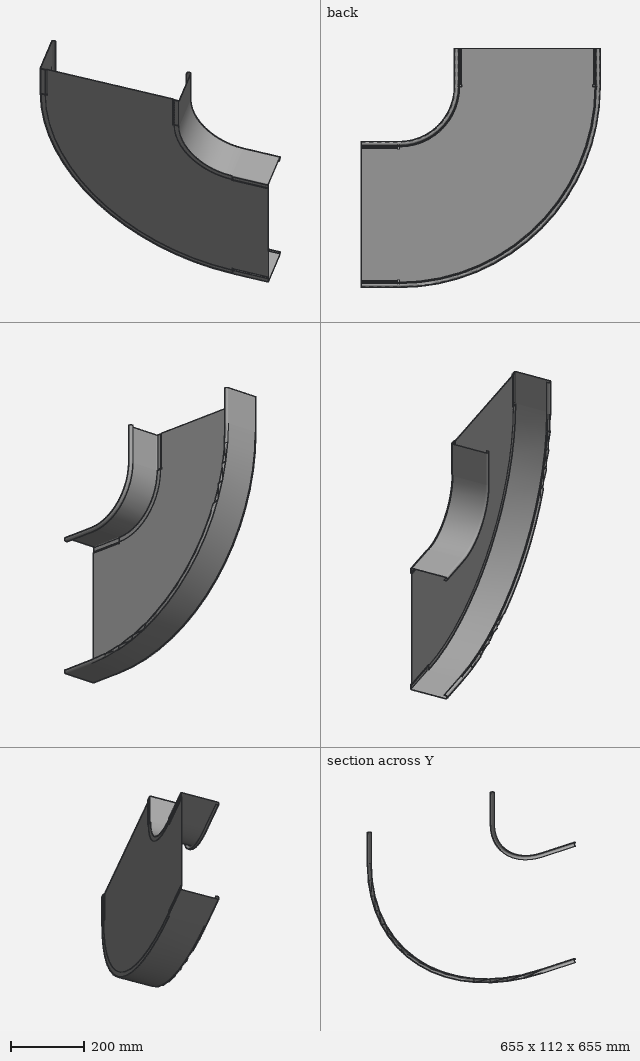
import cadquery as cq
import math

overall_side = 655.0
overall_depth = 112.0
channel_width = 400.0
leg_length = 105.0
sheet = 1.5

flange_width = 15.0
flange_bend_radius = 2.3
lip_width = 12.5
lip_drop = 10.0

tab_length = 100.0
tab_reach = flange_width + sheet
notch_depth = 20.0
joggle_angle = 45.0
edge_inset = 2.5

flange_level = sheet
plate_level = 2 * sheet
joggle_end = tab_reach + plate_level / math.tan(math.radians(joggle_angle))
joggle_corner = sheet * math.tan(math.radians(joggle_angle / 2))

outer_radius = overall_side - leg_length
inner_radius = outer_radius - channel_width
quarter_turn = 90


def outer_side(inset):
    """X of a point that lies `inset` into the channel from the outer wall's outside face."""
    return inset - outer_radius


def inner_side(inset):
    """X of a point that lies `inset` into the channel from the inner wall's outside face."""
    return -inner_radius - inset


def turned_to_x(leg):
    """Turn a leg that lies below z = 0 so that it runs from x = 0 to +X."""
    return leg.rotate((0, 0, 0), (0, 1, 0), -quarter_turn)


def wall_section(side):
    """Wall section in the XY plane: bottom flange, wall and half-round top lip with a short straight end."""

    def at(inset, level):
        return (side(inset), level)

    lip_bend_start = overall_depth - lip_width / 2
    lip_end = overall_depth - lip_drop
    flange_bend_end = flange_level + flange_bend_radius
    return (
        cq.Workplane("XY")
        .moveTo(*at(flange_width, flange_level))
        .lineTo(*at(flange_bend_radius, flange_level))
        .tangentArcPoint(at(0, flange_bend_end), relative=False)
        .lineTo(*at(0, lip_bend_start))
        .tangentArcPoint(at(lip_width, lip_bend_start), relative=False)
        .lineTo(*at(lip_width, lip_end))
        .lineTo(*at(lip_width - sheet, lip_end))
        .lineTo(*at(lip_width - sheet, lip_bend_start))
        .tangentArcPoint(at(sheet, lip_bend_start), relative=False)
        .lineTo(*at(sheet, flange_bend_end))
        .tangentArcPoint(at(flange_bend_radius, flange_level + sheet), relative=False)
        .lineTo(*at(flange_width, flange_level + sheet))
        .close()
    )


def side_wall(side):
    """One side wall: its section run straight, round the quarter bend and straight again."""
    upper_leg = wall_section(side).extrude(leg_length)
    bend = wall_section(side).revolve(quarter_turn, (0, 0, 0), (0, -1, 0))
    lower_leg = turned_to_x(wall_section(side).extrude(-leg_length))
    return upper_leg.union(bend).union(lower_leg)


def plate_bend():
    """Flat quarter ring, lying on the flanges of both walls."""
    outer = outer_radius - edge_inset
    inner = inner_radius + edge_inset
    return (
        cq.Workplane("XY", origin=(0, plate_level, 0))
        .moveTo(-outer, 0)
        .lineTo(-inner, 0)
        .lineTo(-inner, sheet)
        .lineTo(-outer, sheet)
        .close()
        .revolve(quarter_turn, (0, 0, 0), (0, -1, 0))
    )


def tab_edge(side):
    """Section points of a joggled edge, from its underside to its upper side."""
    under = [(joggle_end, plate_level), (tab_reach, 0), (edge_inset, 0)]
    upper = [
        (edge_inset, sheet),
        (tab_reach - joggle_corner, sheet),
        (joggle_end - joggle_corner, plate_level + sheet),
    ]
    return [(side(inset), level) for inset, level in under + upper]


def tabbed_leg(start, end):
    """Plate leg from z = start to z = end, with both edges stepped down under the flanges."""
    outline = tab_edge(outer_side) + tab_edge(inner_side)[::-1]
    section = cq.Workplane("XY", origin=(0, 0, start)).polyline(outline).close()
    return section.extrude(end - start)


def narrow_leg(end):
    """Flat strip between the relief notches, from z = 0 to z = end."""
    left = outer_side(notch_depth)
    right = inner_side(notch_depth)
    corner = (left, plate_level, 0)
    return cq.Workplane("XY", origin=corner).box(right - left, sheet, end, centered=False)


def base_plate():
    """Whole plate: the bend, and on each leg the relief notches and then the stepped tabs."""
    notch_length = leg_length - tab_length
    upper_leg = narrow_leg(notch_length).union(tabbed_leg(notch_length, leg_length))
    lower_leg = turned_to_x(upper_leg.mirror("XY"))
    return plate_bend().union(upper_leg).union(lower_leg)


plate = base_plate()
outer_wall = side_wall(outer_side)
inner_wall = side_wall(inner_side)

result = cq.Compound.makeCompound([plate.solids().val(), outer_wall.solids().val(), inner_wall.solids().val()])